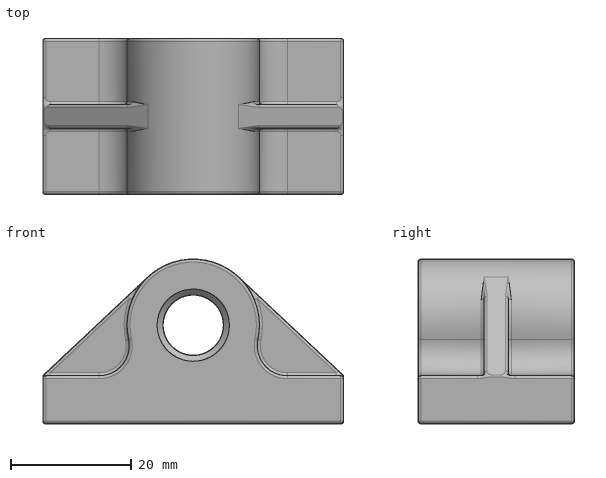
import cadquery as cq
import math

base_length = 50.0
depth = 26.0
base_height = 8.0
axis_height = 16.4
boss_radius = 11.0
blend_radius = 5.0
bore_radius = 5.0
bore_chamfer = 1.0
rib_thickness = 4.0
edge_round = 0.5

half_length = base_length / 2

blend_height = base_height + blend_radius
blend_drop = axis_height - blend_height
center_distance = boss_radius + blend_radius
blend_x = math.sqrt(center_distance**2 - blend_drop**2)
joint_x = blend_x * boss_radius / center_distance
joint_z = axis_height - blend_drop * boss_radius / center_distance
joint_angle = math.atan2(blend_drop, blend_x)
blend_half_sweep = math.pi / 4 + joint_angle / 2

axis_rise = axis_height - base_height
foot_distance = math.hypot(half_length, axis_rise)
tangent_angle = math.acos(boss_radius / foot_distance) - math.atan2(axis_rise, half_length)
tangent_x = boss_radius * math.cos(tangent_angle)
tangent_z = axis_height + boss_radius * math.sin(tangent_angle)


def make_body():
    """Base and bearing boss, joined by concave blends."""
    blend_mid_x = blend_x - blend_radius * math.sin(blend_half_sweep)
    blend_mid_z = blend_height - blend_radius * math.cos(blend_half_sweep)
    return (
        cq.Workplane("XZ")
        .moveTo(-half_length, 0)
        .lineTo(half_length, 0)
        .lineTo(half_length, base_height)
        .lineTo(blend_x, base_height)
        .threePointArc((blend_mid_x, blend_mid_z), (joint_x, joint_z))
        .threePointArc((0, axis_height + boss_radius), (-joint_x, joint_z))
        .threePointArc((-blend_mid_x, blend_mid_z), (-blend_x, base_height))
        .lineTo(-half_length, base_height)
        .close()
        .extrude(depth / 2, both=True)
    )


def make_rib(side):
    """Triangular rib; side is -1 for the -X end and 1 for the +X end."""
    return (
        cq.Workplane("XZ")
        .moveTo(side * half_length, base_height)
        .lineTo(side * tangent_x, tangent_z)
        .lineTo(0, axis_height)
        .lineTo(0, base_height)
        .close()
        .extrude(rib_thickness / 2, both=True)
    )


def is_smooth_seam(edge):
    """True for the lines along Y where the boss, blends and rib slopes meet smoothly."""
    runs_along_y = edge.geomType() == "LINE" and abs(edge.tangentAt(0).y) > 0.9
    return runs_along_y and abs(edge.Center().x) < half_length - edge_round


def round_edges(body):
    """Round every outer edge and the feet of the ribs with one radius."""
    sharp_edges = [edge for edge in body.edges().vals() if not is_smooth_seam(edge)]
    return body.newObject([body.val().fillet(edge_round, sharp_edges)])


def make_bore_cutter():
    """Revolved half-section of the bore with a chamfer at each mouth."""
    half_depth = depth / 2
    straight_end = half_depth - bore_chamfer
    mouth_radius = bore_radius + bore_chamfer
    return (
        cq.Workplane("XY")
        .polyline(
            [
                (0, -half_depth),
                (mouth_radius, -half_depth),
                (bore_radius, -straight_end),
                (bore_radius, straight_end),
                (mouth_radius, half_depth),
                (0, half_depth),
            ]
        )
        .close()
        .revolve(360, (0, 0, 0), (0, 1, 0))
        .translate((0, 0, axis_height))
    )


body = make_body()
for side in (-1, 1):
    body = body.union(make_rib(side))
result = round_edges(body).cut(make_bore_cutter())